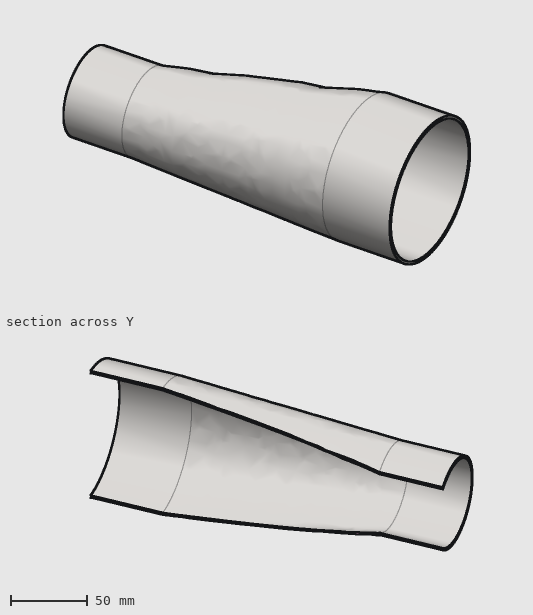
import cadquery as cq


SMALL_OUTER_DIAMETER = 63.5
SMALL_INNER_DIAMETER = 60.2
LARGE_OUTER_DIAMETER = 101.6
LARGE_INNER_DIAMETER = 97.38
SMALL_END_LENGTH = 44.45
TAPER_LENGTH = 152.4
LARGE_END_LENGTH = 50.8

SMALL_END_Y = -(LARGE_OUTER_DIAMETER - SMALL_OUTER_DIAMETER) / 2

TAPER_START_X = SMALL_END_LENGTH
TAPER_END_X = TAPER_START_X + TAPER_LENGTH


def cylinder(start_x, center_y, diameter, length):
    """Solid cylinder running along +X from start_x."""
    return (
        cq.Workplane("YZ", origin=(start_x, center_y, 0))
        .circle(diameter / 2)
        .extrude(length)
    )


def eccentric_taper(small_diameter, large_diameter):
    """Straight-sided transition between the two offset end circles."""
    return (
        cq.Workplane("YZ", origin=(TAPER_START_X, SMALL_END_Y, 0))
        .circle(small_diameter / 2)
        .workplane(offset=TAPER_LENGTH)
        .center(-SMALL_END_Y, 0)
        .circle(large_diameter / 2)
        .loft(ruled=True)
    )


def reducer_body(small_diameter, large_diameter):
    """Solid reducer shape, used for both the outside and the bore."""
    small_end = cylinder(0, SMALL_END_Y, small_diameter, SMALL_END_LENGTH)
    taper = eccentric_taper(small_diameter, large_diameter)
    large_end = cylinder(TAPER_END_X, 0, large_diameter, LARGE_END_LENGTH)
    return small_end.union(taper).union(large_end)


outside = reducer_body(SMALL_OUTER_DIAMETER, LARGE_OUTER_DIAMETER)
bore = reducer_body(SMALL_INNER_DIAMETER, LARGE_INNER_DIAMETER)

result = outside.cut(bore)